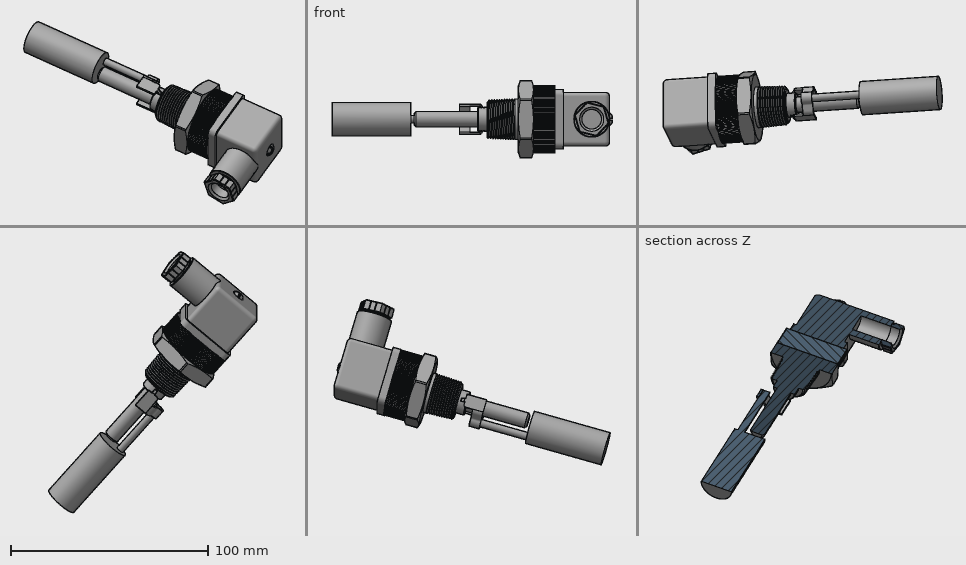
import cadquery as cq
import math


FLOAT_LENGTH = 40.0
FLOAT_RADIUS = 8.5
FLOAT_Y = 3.0
ROD_RADIUS = 2.0
ROD_Y = 7.8

CLIP_X = 64.5
CLIP_THICKNESS = 1.1
CLIP_HALF_HEIGHT = 7.7
STRAP_WIDTH = 5.4
CHEEK_LENGTH = 10.4
CHEEK_BOTTOM_Y = -3.1
CHEEK_TOP_Y = 3.5
CHEEK_CORNER_RADIUS = 1.4
STRAP_BEND_Y = 5.0
STRAP_ROD_Y = 8.2
STRAP_BEND_RADIUS = 2.8
STRAP_ROD_BLEND = 1.1
SELECTION_MARGIN = 0.3
TAB_WIDTH = 1.7
TAB_FLAT = 0.4
TAB_DROP = 2.1
TAB_RUN = 1.5

STEM_X = 41.7
STEM_RADIUS = 4.0
STEM_CHAMFER = 1.0
COLLAR_X = 73.8
COLLAR_RADIUS = 6.1
COLLAR_CHAMFER = 0.4
SLOT_LENGTH = 2.3
THREAD_X = 78.5
THREAD_END_X = 92.7
THREAD_PITCH = 1.3
THREAD_DEPTH = 0.7
THREAD_ROOT_RADIUS = 9.1
THREAD_EMBED = 0.1
THREAD_TAPER = 1 / 24
THREAD_TIP_CHAMFER = 0.7
NECK_RADIUS = 10.4
HEX_X = 94.4
HEX_LENGTH = 7.8
HEX_ACROSS_FLATS = 34.4
HEX_OUTER_RADIUS = 19.6
HEX_FACE_RADIUS = 16.8
HEX_CHAMFER = 1.0

RING_X = HEX_X + HEX_LENGTH
RING_LENGTH = 11.0
RING_RADIUS = 17.0
RING_TEETH = 120
TOOTH_DEPTH = 0.4

FLANGE_X = RING_X + RING_LENGTH
FLANGE_LENGTH = 4.1
FLANGE_SIZE = 30.3
FLANGE_CORNER_RADIUS = 3.1
BOX_X = FLANGE_X + FLANGE_LENGTH
BOX_LENGTH = 23.5
BOX_SIZE = 27.3
BOX_FILLET = 2.1
BOX_END_X = BOX_X + BOX_LENGTH
TUBE_RADIUS = 9.1
TUBE_X = BOX_END_X - TUBE_RADIUS
TUBE_END_Y = -30.3
TUBE_CHAMFER = 0.3
SCREW_HEIGHT = 1.4
SCREW_TOP_RADIUS = 1.4
SCREW_DOME_RADIUS = 2.8
SCREW_RADIUS = 3.3
SCREW_SLOT_WIDTH = 0.9
SCREW_SLOT_DEPTH = 1.1

GLAND_NECK_RADIUS = 7.1
GLAND_NECK_LENGTH = 0.9
GLAND_NUT_LENGTH = 5.3
GLAND_ACROSS_CORNERS = 18.0
GLAND_TURN = 14
GLAND_CHAMFER = 0.4
GLAND_FLAT_GROOVE = 0.4
GLAND_BORE_RADIUS = 5.0
GLAND_BORE_CHAMFER = 1.1


def rod_along_x(x, length, radius, y=0.0):
    """Cylinder that starts at x and runs toward +X."""
    return cq.Workplane("YZ", origin=(x, y, 0)).circle(radius).extrude(length)


def rod_along_minus_y(y, length, radius):
    """Cylinder on the cable axis that starts at y and runs toward -Y."""
    return cq.Workplane("XZ", origin=(TUBE_X, y, 0)).circle(radius).extrude(length)


def revolve_about_x(points):
    """Solid of revolution about the main axis from (x, radius) points."""
    return cq.Workplane("XY").polyline(points).close().revolve(360, (0, 0, 0), (1, 0, 0))


def make_float():
    body = rod_along_x(0, FLOAT_LENGTH, FLOAT_RADIUS, FLOAT_Y)
    rod_length = CLIP_X + STRAP_WIDTH - FLOAT_LENGTH
    return body.union(rod_along_x(FLOAT_LENGTH, rod_length, ROD_RADIUS, ROD_Y))


def strap_envelope():
    """Filled outline of the strap: flat cheeks that narrow to a loop around the float rod."""
    outline = [
        (CHEEK_BOTTOM_Y, -CLIP_HALF_HEIGHT),
        (STRAP_BEND_Y, -CLIP_HALF_HEIGHT),
        (STRAP_ROD_Y, -ROD_RADIUS),
        (STRAP_ROD_Y, ROD_RADIUS),
        (STRAP_BEND_Y, CLIP_HALF_HEIGHT),
        (CHEEK_BOTTOM_Y, CLIP_HALF_HEIGHT),
    ]
    envelope = cq.Workplane("YZ", origin=(CLIP_X, 0, 0)).polyline(outline).close().extrude(STRAP_WIDTH)
    loop = rod_along_x(CLIP_X, STRAP_WIDTH, ROD_RADIUS + CLIP_THICKNESS, ROD_Y)
    envelope = envelope.union(loop)
    strap_end_x = CLIP_X + STRAP_WIDTH
    bends = cq.selectors.BoxSelector(
        (CLIP_X, STRAP_BEND_Y - SELECTION_MARGIN / 2, -2 * CLIP_HALF_HEIGHT),
        (strap_end_x, STRAP_BEND_Y + SELECTION_MARGIN / 2, 2 * CLIP_HALF_HEIGHT),
    )
    joints = cq.selectors.BoxSelector(
        (CLIP_X, STRAP_BEND_Y + SELECTION_MARGIN, -CLIP_HALF_HEIGHT + SELECTION_MARGIN),
        (strap_end_x, ROD_Y + ROD_RADIUS, CLIP_HALF_HEIGHT - SELECTION_MARGIN),
    )
    envelope = envelope.edges("|X").edges(bends).fillet(STRAP_BEND_RADIUS)
    return envelope.edges("|X").edges(joints).fillet(STRAP_ROD_BLEND)


def make_strap():
    """Bent strip of even thickness, open toward -Y."""
    envelope = strap_envelope()
    hollow = (
        envelope.faces("<X")
        .wires()
        .toPending()
        .offset2D(-CLIP_THICKNESS)
        .extrude(STRAP_WIDTH, combine=False)
    )
    inside_height = 2 * (CLIP_HALF_HEIGHT - CLIP_THICKNESS)
    front_opening = cq.Workplane("XY").box(STRAP_WIDTH, 2 * CLIP_THICKNESS, inside_height)
    front_opening = front_opening.translate((CLIP_X + STRAP_WIDTH / 2, CHEEK_BOTTOM_Y, 0))
    return envelope.cut(hollow).cut(front_opening)


def make_cheek():
    """Upper cheek with the bent tab at its end."""
    inside_z = CLIP_HALF_HEIGHT - CLIP_THICKNESS
    plate = (
        cq.Workplane("XY", origin=(CLIP_X, CHEEK_BOTTOM_Y, inside_z))
        .rect(CHEEK_LENGTH, CHEEK_TOP_Y - CHEEK_BOTTOM_Y, centered=False)
        .extrude(CLIP_THICKNESS)
        .edges("|Z and >X and >Y")
        .fillet(CHEEK_CORNER_RADIUS)
    )
    end_x = CLIP_X + CHEEK_LENGTH
    tab = (
        cq.Workplane("XZ", origin=(0, TAB_WIDTH / 2, 0))
        .moveTo(end_x - TAB_FLAT, inside_z)
        .lineTo(end_x - TAB_FLAT, CLIP_HALF_HEIGHT)
        .lineTo(end_x + TAB_FLAT, CLIP_HALF_HEIGHT)
        .lineTo(end_x + TAB_FLAT + TAB_RUN, CLIP_HALF_HEIGHT - TAB_DROP)
        .lineTo(end_x + TAB_RUN - TAB_FLAT, CLIP_HALF_HEIGHT - TAB_DROP)
        .lineTo(end_x, inside_z)
        .close()
        .extrude(TAB_WIDTH)
    )
    return plate.union(tab)


def make_clip():
    cheek = make_cheek()
    return make_strap().union(cheek).union(cheek.mirror("XY"))


def make_thread_ridge():
    """Tapered helical V ridge that ends inside the neck."""
    start_x = THREAD_X + THREAD_PITCH / 2
    length = THREAD_END_X - start_x
    embedded_radius = THREAD_ROOT_RADIUS - THREAD_EMBED
    helix = cq.Wire.makeHelix(
        THREAD_PITCH, length, THREAD_ROOT_RADIUS, angle=math.degrees(math.atan(THREAD_TAPER))
    )
    half_base = 0.49 * THREAD_PITCH
    ridge = (
        cq.Workplane("XZ")
        .polyline([
            (embedded_radius, -half_base),
            (THREAD_ROOT_RADIUS, -half_base),
            (THREAD_ROOT_RADIUS + THREAD_DEPTH, 0),
            (THREAD_ROOT_RADIUS, half_base),
            (embedded_radius, half_base),
        ])
        .close()
        .sweep(cq.Workplane(obj=helix), isFrenet=True)
    )
    return ridge.rotate((0, 0, 0), (0, 1, 0), 90).translate((start_x, 0, 0))


def make_threaded_part():
    root_end_radius = THREAD_ROOT_RADIUS + THREAD_TAPER * (THREAD_END_X - THREAD_X)
    core = revolve_about_x([
        (THREAD_X, 0),
        (THREAD_X, THREAD_ROOT_RADIUS - THREAD_TIP_CHAMFER),
        (THREAD_X + THREAD_TIP_CHAMFER, THREAD_ROOT_RADIUS),
        (THREAD_END_X, root_end_radius),
        (THREAD_END_X, NECK_RADIUS),
        (HEX_X, NECK_RADIUS),
        (HEX_X, 0),
    ])
    return core.union(make_thread_ridge())


def make_hexagon():
    """Hexagon with two corners on the Z axis, and conical chamfers on both faces."""
    corner_distance = HEX_ACROSS_FLATS / math.sqrt(3)
    corners = []
    for i in range(6):
        angle = math.radians(90 + 60 * i)
        corners.append((corner_distance * math.cos(angle), corner_distance * math.sin(angle)))
    hexagon = cq.Workplane("YZ", origin=(HEX_X, 0, 0)).polyline(corners).close().extrude(HEX_LENGTH)
    chamfer_envelope = revolve_about_x([
        (HEX_X, 0),
        (HEX_X, HEX_FACE_RADIUS),
        (HEX_X + HEX_CHAMFER, HEX_OUTER_RADIUS),
        (RING_X - HEX_CHAMFER, HEX_OUTER_RADIUS),
        (RING_X, HEX_FACE_RADIUS),
        (RING_X, 0),
    ])
    return hexagon.intersect(chamfer_envelope)


def make_fitting():
    stem = rod_along_x(STEM_X, COLLAR_X - STEM_X, STEM_RADIUS).faces("<X").chamfer(STEM_CHAMFER)
    collar = rod_along_x(COLLAR_X, THREAD_X - COLLAR_X, COLLAR_RADIUS).faces("<X").chamfer(COLLAR_CHAMFER)
    slot_bottom = CLIP_HALF_HEIGHT - TAB_DROP
    slot_x = CLIP_X + CHEEK_LENGTH + SLOT_LENGTH / 2
    for side in (1, -1):
        slot = cq.Workplane("XY").box(SLOT_LENGTH, TAB_WIDTH, 2 * (COLLAR_RADIUS - slot_bottom))
        collar = collar.cut(slot.translate((slot_x, 0, side * COLLAR_RADIUS)))
    return stem.union(collar).union(make_threaded_part()).union(make_hexagon())


def make_ring():
    """Disc with V teeth all round."""
    root_radius = RING_RADIUS - TOOTH_DEPTH
    half_step = math.pi / RING_TEETH
    outline = []
    for i in range(2 * RING_TEETH):
        radius = RING_RADIUS if i % 2 == 0 else root_radius
        outline.append((radius * math.cos(i * half_step), radius * math.sin(i * half_step)))
    return cq.Workplane("YZ", origin=(RING_X, 0, 0)).polyline(outline).close().extrude(RING_LENGTH)


def make_screw_head():
    """Domed head with a cross slot."""
    dome = (
        cq.Workplane("XY", origin=(BOX_END_X, 0, 0))
        .lineTo(0, SCREW_RADIUS)
        .radiusArc((SCREW_HEIGHT, SCREW_TOP_RADIUS), SCREW_DOME_RADIUS)
        .lineTo(SCREW_HEIGHT, 0)
        .close()
        .revolve(360, (0, 0, 0), (1, 0, 0))
    )
    slot = cq.Workplane("XY").box(2 * SCREW_SLOT_DEPTH, 2 * SCREW_RADIUS, SCREW_SLOT_WIDTH)
    for turn in (0, 90):
        turned = slot.rotate((0, 0, 0), (1, 0, 0), turn)
        dome = dome.cut(turned.translate((BOX_END_X + SCREW_HEIGHT, 0, 0)))
    return dome


def make_housing():
    flange = (
        cq.Workplane("YZ", origin=(FLANGE_X, 0, 0))
        .rect(FLANGE_SIZE, FLANGE_SIZE)
        .extrude(FLANGE_LENGTH)
        .edges("|X")
        .fillet(FLANGE_CORNER_RADIUS)
    )
    box = (
        cq.Workplane("YZ", origin=(BOX_X, 0, 0))
        .rect(BOX_SIZE, BOX_SIZE)
        .extrude(BOX_LENGTH)
        .edges("|X or >X")
        .fillet(BOX_FILLET)
    )
    tube = rod_along_minus_y(0, -TUBE_END_Y, TUBE_RADIUS).faces("<Y").chamfer(TUBE_CHAMFER)
    bore = rod_along_minus_y(-BOX_SIZE / 2, -TUBE_END_Y - BOX_SIZE / 2, GLAND_BORE_RADIUS)
    return flange.union(box).union(tube).cut(bore).union(make_screw_head())


def make_gland_nut():
    nut_y = TUBE_END_Y - GLAND_NECK_LENGTH
    neck = rod_along_minus_y(TUBE_END_Y, GLAND_NECK_LENGTH, GLAND_NECK_RADIUS)
    nut = (
        cq.Workplane("XZ", origin=(TUBE_X, nut_y, 0))
        .polygon(6, GLAND_ACROSS_CORNERS)
        .extrude(GLAND_NUT_LENGTH)
        .faces("<Y or >Y")
        .chamfer(GLAND_CHAMFER)
    )
    flat_distance = GLAND_ACROSS_CORNERS / 2 * math.cos(math.pi / 6)
    pad_width = GLAND_ACROSS_CORNERS / 6
    for i in range(6):
        for offset in (-pad_width / 2, pad_width / 2):
            groove = (
                cq.Workplane("XZ", origin=(0, nut_y, 0))
                .center(offset, flat_distance)
                .polygon(4, GLAND_FLAT_GROOVE)
                .extrude(GLAND_NUT_LENGTH)
                .rotate((0, 0, 0), (0, 1, 0), 60 * i)
                .translate((TUBE_X, 0, 0))
            )
            nut = nut.cut(groove)
    nut = nut.rotate((TUBE_X, 0, 0), (TUBE_X, 1, 0), GLAND_TURN)
    bore = rod_along_minus_y(TUBE_END_Y, GLAND_NECK_LENGTH + GLAND_NUT_LENGTH, GLAND_BORE_RADIUS)
    nut = neck.union(nut).cut(bore)
    return nut.faces("<Y").edges("%CIRCLE").chamfer(GLAND_BORE_CHAMFER)


float_body = make_float()
clip = make_clip()
fitting = make_fitting()
ring = make_ring()
housing = make_housing()
gland_nut = make_gland_nut()

result = cq.Compound.makeCompound([
    float_body.val(),
    clip.val(),
    fitting.val(),
    ring.val(),
    housing.val(),
    gland_nut.val(),
])